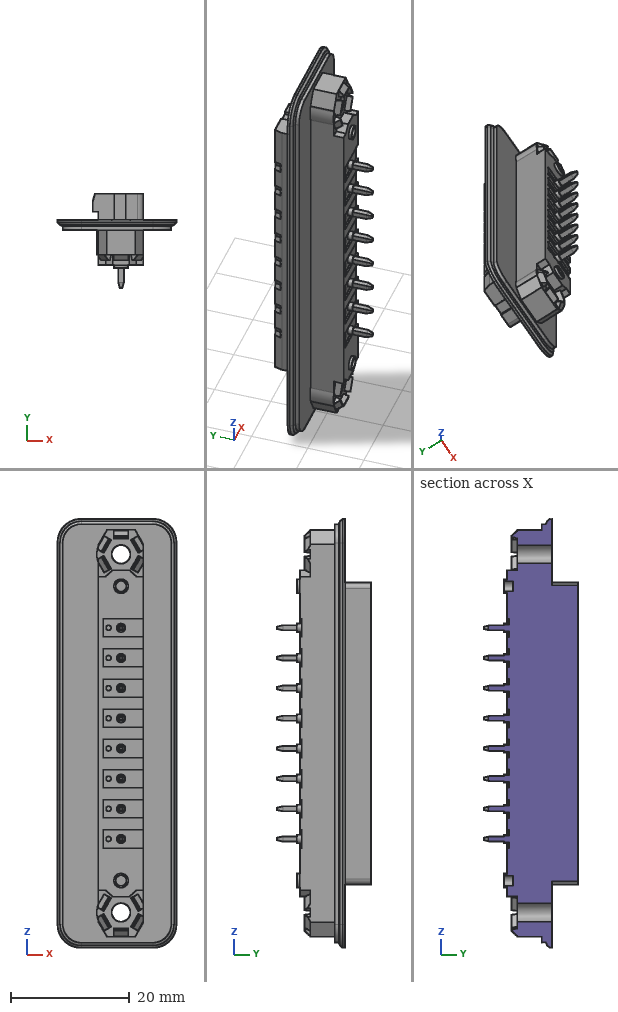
import cadquery as cq
import math


PLATE_WIDTH = 20.07
PLATE_HEIGHT = 72.27
PLATE_CENTER_X = -0.68
PLATE_CORNER_RADIUS = 4.0
PLATE_DEPTH = 1.75
LIP_DEPTH = 0.43
BEVEL_DEPTH = 0.87
BEVEL_INSET = 0.43
SHOULDER_DEPTH = 1.1
SHOULDER_INSET = 0.9

BODY_LEFT = -3.84
BODY_RIGHT = 3.77
BODY_WIDTH = BODY_RIGHT - BODY_LEFT
BODY_FACE = 7.62
SEAT_FACE = 5.9
END_APOTHEM = 4.1
END_RADIUS = 4.08

SEAT_Z = 30.15
SCREW_HOLE_DIAMETER = 3.1
RECESS_APOTHEM = 2.65
RECESS_FLOOR_HALF_WIDTH = 1.4
RECESS_LIP_HALF_WIDTH = 2.6
RECESS_LIP = 3.74
TAB_WIDTH = 2.5
TAB_HEIGHT = 0.95
TAB_OUTER = 4.0
TAB_CREST_OUTER = 3.1
TAB_CREST_INNER = 2.9
TAB_ANGLES = (-30, 30, 90, 150, 210)

STUD_Z = 24.78
STUD_DIAMETER = 2.4
STUD_BORE_DIAMETER = 1.8
STUD_HEIGHT = 0.5
STUD_BORE_DEPTH = 1.5

PIN_COUNT = 8
PIN_PITCH = 5.08
PIN_WIDTH = 1.0
PIN_THICKNESS = 0.9
PIN_END = 11.5
PIN_TIP_LENGTH = 1.0
PIN_TIP_SCALE = 0.45
COLLAR_DIAMETER = 1.45
COLLAR_FACE = 8.1
PAD_LEFT = -2.97
PAD_HEIGHT = 3.04
PAD_DEPTH = 0.35
TEST_POCKET_X = -2.1
TEST_POCKET_DIAMETER = 0.85
TEST_POCKET_DEPTH = 1.0

PLUG_DEPTH = 4.4
PLUG_HEIGHT = 50.9
PLUG_LEFT = -4.8
PLUG_UNDERCUT = 1.35
PLUG_BEVEL_START = 3.05
PLUG_BEVEL_WIDTH = 0.4
PLUG_EDGE_RADIUS = 1.0
END_GROOVE_LEFT = -1.15
END_GROOVE_RIGHT = 0.8
END_GROOVE_DEPTH = 0.5
NOTCH_HALF_HEIGHT = 0.85
NOTCH_DEPTH = 0.3
NOTCH_START = 0.25

PIN_POSITIONS = [(i - (PIN_COUNT - 1) / 2) * PIN_PITCH for i in range(PIN_COUNT)]


def front_plane(distance):
    """XZ sketch plane at the given distance in front of the plate back; extrudes to -Y."""
    return cq.Workplane("XZ", origin=(0, -distance, 0))


def rounded_slab(start, end, inset):
    return (
        front_plane(start)
        .center(PLATE_CENTER_X, 0)
        .rect(PLATE_WIDTH - 2 * inset, PLATE_HEIGHT - 2 * inset)
        .extrude(end - start)
        .edges("|Y")
        .fillet(PLATE_CORNER_RADIUS - inset)
    )


def rounded_bevel(start, end, inset_start, inset_end):
    """Sloped band between two concentric rounded rectangles."""
    slope = math.degrees(math.atan2(inset_end - inset_start, end - start))
    outline = (
        cq.Sketch()
        .rect(PLATE_WIDTH - 2 * inset_start, PLATE_HEIGHT - 2 * inset_start)
        .vertices()
        .fillet(PLATE_CORNER_RADIUS - inset_start)
    )
    return (
        front_plane(start)
        .center(PLATE_CENTER_X, 0)
        .placeSketch(outline)
        .extrude(end - start, taper=slope)
    )


def make_plate():
    lip = rounded_slab(0, LIP_DEPTH, 0)
    steep = rounded_bevel(LIP_DEPTH, BEVEL_DEPTH, 0, BEVEL_INSET)
    shallow = rounded_bevel(BEVEL_DEPTH, SHOULDER_DEPTH, BEVEL_INSET, SHOULDER_INSET)
    face = rounded_slab(SHOULDER_DEPTH, PLATE_DEPTH, SHOULDER_INSET)
    return lip.union(steep).union(shallow).union(face)


def between_body_sides(shape):
    """Trim a shape to the left and right sides of the front body."""
    sides = cq.Workplane("XY").box(BODY_WIDTH, 2 * PIN_END, PLATE_HEIGHT)
    return shape.intersect(sides.translate(((BODY_LEFT + BODY_RIGHT) / 2, 0, 0)))


def make_tab(angle):
    """Raised tab beside one hexagon side, sloping down on both sides of its crest."""
    return (
        cq.Workplane("XY")
        .moveTo(RECESS_APOTHEM, -SEAT_FACE)
        .lineTo(TAB_OUTER, -SEAT_FACE)
        .lineTo(TAB_CREST_OUTER, -SEAT_FACE - TAB_HEIGHT)
        .lineTo(TAB_CREST_INNER, -SEAT_FACE - TAB_HEIGHT)
        .close()
        .extrude(TAB_WIDTH / 2, both=True)
        .rotate((0, 0, 0), (0, 1, 0), -angle)
    )


def make_upper_seat():
    """Hexagonal end of the body with its tabs, around the upper screw hole."""
    corner_diameter = 2 * END_APOTHEM / math.cos(math.pi / 6)
    hexagon = front_plane(0).polygon(6, corner_diameter).extrude(SEAT_FACE)
    seat = between_body_sides(hexagon)
    bulge = front_plane(0).circle(END_RADIUS).extrude(SEAT_FACE)
    side_limit = cq.Workplane("XY").box(PLATE_WIDTH, 2 * PIN_END, PLATE_HEIGHT)
    side_limit = side_limit.translate((BODY_RIGHT - PLATE_WIDTH / 2, 0, 0))
    seat = seat.union(bulge.intersect(side_limit))
    for angle in TAB_ANGLES:
        seat = seat.union(between_body_sides(make_tab(angle)))
    return seat.translate((0, 0, SEAT_Z))


def make_upper_recess():
    """Cutter that drops the pin face to the screw seat around the upper hole."""
    return (
        front_plane(SEAT_FACE)
        .moveTo(-PLATE_WIDTH, SEAT_Z - RECESS_LIP)
        .lineTo(-RECESS_LIP_HALF_WIDTH, SEAT_Z - RECESS_LIP)
        .lineTo(-RECESS_FLOOR_HALF_WIDTH, SEAT_Z - RECESS_APOTHEM)
        .lineTo(RECESS_FLOOR_HALF_WIDTH, SEAT_Z - RECESS_APOTHEM)
        .lineTo(RECESS_LIP_HALF_WIDTH, SEAT_Z - RECESS_LIP)
        .lineTo(PLATE_WIDTH, SEAT_Z - RECESS_LIP)
        .lineTo(PLATE_WIDTH, PLATE_HEIGHT)
        .lineTo(-PLATE_WIDTH, PLATE_HEIGHT)
        .close()
        .extrude(BODY_FACE)
    )


def with_mirror(shape):
    """The shape together with its mirror image below the XY plane."""
    return shape.union(shape.mirror("XY"))


def make_body():
    block = (
        front_plane(0)
        .center((BODY_LEFT + BODY_RIGHT) / 2, 0)
        .rect(BODY_WIDTH, 2 * SEAT_Z)
        .extrude(BODY_FACE)
    )
    block = block.cut(with_mirror(make_upper_recess()))
    return block.union(with_mirror(make_upper_seat()))


def cut_screw_holes(shape):
    holes = (
        front_plane(-PLUG_DEPTH)
        .pushPoints([(0, SEAT_Z), (0, -SEAT_Z)])
        .circle(SCREW_HOLE_DIAMETER / 2)
        .extrude(PLUG_DEPTH + BODY_FACE)
    )
    return shape.cut(holes)


def add_studs(shape):
    places = [(0, STUD_Z), (0, -STUD_Z)]
    studs = front_plane(BODY_FACE).pushPoints(places).circle(STUD_DIAMETER / 2).extrude(STUD_HEIGHT)
    stud_face = BODY_FACE + STUD_HEIGHT
    bores = (
        front_plane(stud_face - STUD_BORE_DEPTH)
        .pushPoints(places)
        .circle(STUD_BORE_DIAMETER / 2)
        .extrude(STUD_BORE_DEPTH)
    )
    return shape.union(studs).cut(bores)


def cut_pads(shape):
    """Shallow pads, open to the right side, each with a small round pocket."""
    pad_face = BODY_FACE - PAD_DEPTH
    pad_width = BODY_RIGHT - PAD_LEFT
    pads = (
        front_plane(pad_face)
        .pushPoints([((PAD_LEFT + BODY_RIGHT) / 2, z) for z in PIN_POSITIONS])
        .rect(pad_width, PAD_HEIGHT)
        .extrude(PAD_DEPTH)
    )
    pockets = (
        front_plane(pad_face - TEST_POCKET_DEPTH)
        .pushPoints([(TEST_POCKET_X, z) for z in PIN_POSITIONS])
        .circle(TEST_POCKET_DIAMETER / 2)
        .extrude(TEST_POCKET_DEPTH)
    )
    return shape.cut(pads).cut(pockets)


def make_pin():
    root = BODY_FACE - PAD_DEPTH
    tip_start = PIN_END - PIN_TIP_LENGTH
    collar = front_plane(root).circle(COLLAR_DIAMETER / 2).extrude(COLLAR_FACE - root)
    shaft = front_plane(root).rect(PIN_WIDTH, PIN_THICKNESS).extrude(tip_start - root)
    tip = (
        front_plane(tip_start)
        .rect(PIN_WIDTH, PIN_THICKNESS)
        .workplane(offset=PIN_TIP_LENGTH)
        .rect(PIN_WIDTH * PIN_TIP_SCALE, PIN_THICKNESS * PIN_TIP_SCALE)
        .loft()
    )
    return collar.union(shaft).union(tip)


def make_plug():
    """Rear block with an overhanging bevelled left side and grooved ends."""
    plug = (
        cq.Workplane("XY", origin=(0, 0, -PLUG_HEIGHT / 2))
        .moveTo(BODY_LEFT, 0)
        .lineTo(BODY_LEFT, PLUG_UNDERCUT)
        .lineTo(PLUG_LEFT, PLUG_UNDERCUT)
        .lineTo(PLUG_LEFT, PLUG_BEVEL_START)
        .lineTo(PLUG_LEFT + PLUG_BEVEL_WIDTH, PLUG_DEPTH)
        .lineTo(BODY_RIGHT, PLUG_DEPTH)
        .lineTo(BODY_RIGHT, 0)
        .close()
        .extrude(PLUG_HEIGHT)
    )
    plug = plug.edges("|Y and >X").fillet(PLUG_EDGE_RADIUS)
    groove_width = END_GROOVE_RIGHT - END_GROOVE_LEFT
    groove_x = (END_GROOVE_LEFT + END_GROOVE_RIGHT) / 2
    for end in (-1, 1):
        groove = cq.Workplane("XY").box(groove_width, PLUG_DEPTH, 2 * END_GROOVE_DEPTH)
        plug = plug.cut(groove.translate((groove_x, PLUG_DEPTH / 2, end * PLUG_HEIGHT / 2)))
    for z in PIN_POSITIONS:
        plug = plug.cut(make_notch().translate((0, 0, z)))
    return plug


def make_notch():
    """Cutter for a shallow V notch that runs along the bevel and out at the rear face."""
    bevel_rise = PLUG_DEPTH - PLUG_BEVEL_START
    bevel_foot = cq.Plane(
        origin=(PLUG_LEFT, PLUG_BEVEL_START, 0),
        xDir=(0, 0, 1),
        normal=(PLUG_BEVEL_WIDTH, bevel_rise, 0),
    )
    return (
        cq.Workplane(bevel_foot)
        .workplane(offset=NOTCH_START)
        .moveTo(NOTCH_HALF_HEIGHT, 0)
        .lineTo(-NOTCH_HALF_HEIGHT, 0)
        .lineTo(0, NOTCH_DEPTH)
        .close()
        .extrude(PLUG_DEPTH)
    )


part = make_plate().union(make_body()).union(make_plug())
part = cut_screw_holes(part)
part = add_studs(part)
part = cut_pads(part)
for pin_z in PIN_POSITIONS:
    part = part.union(make_pin().translate((0, 0, pin_z)))

result = part